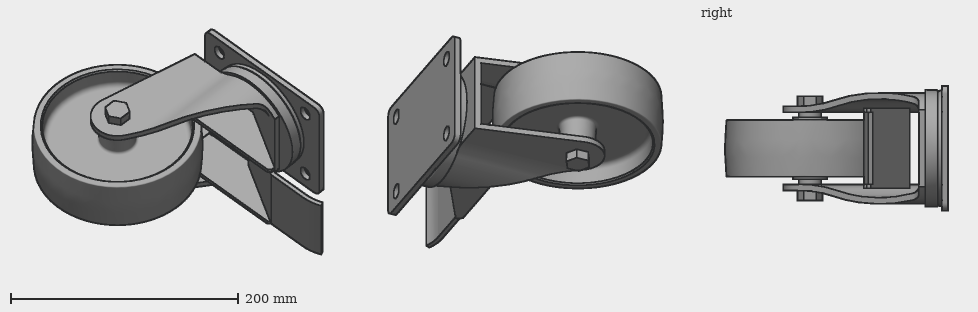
import cadquery as cq
import math


overall_length = 275.0
overall_height = 196.7

wheel_radius = 75.0
wheel_half_width = 25.0
tread_edge_radius = 73.7
tread_round = 1.0
rim_bore_radius = 66.3
rim_chamfer = 1.5
web_half_thickness = 7.0
web_fillet = 5.2
wheel_draft_angle = 4.0
hub_radius = 15.0
hub_half_length = 27.2
hub_fillet = 2.8

spacer_diameter = 20.0
bolt_across_flats = 19.3
bolt_head_height = 8.8

swivel_x = 65.0
plate_top_y = overall_height - wheel_radius
plate_length = 140.3
plate_width = 110.0
plate_thickness = 5.5
plate_corner_radius = 7.0
slot_spacing_x = 105.0
slot_spacing_z = 77.5
slot_width = 11.0
slot_length = 13.5

cup_diameter = 103.2
lower_cup_height = 11.3
lower_cup_round = 1.7
groove_radius = 49.8
upper_cup_radius = 51.2
upper_cup_bulge_radius = 51.0

sheet = 5.5
fork_half_width = 37.1
fork_top_y = 101.2
fork_top_left_x = -3.3
fork_top_right_x = 100.1
leg_end_radius = 23.7
leg_slope_angle = 58.6
crown_fillet = 12.0
bulge_radius = 49.0
bulge_start_x = 21.7

lever_sheet = 4.5
lever_side_thickness = 3.5
lever_bottom_y = 47.3
lever_slope_angle = 30.0
lever_bend_x = 143.5
lever_top_y = 87.8
lever_side_left_x = 27.5
lever_side_right_x = 140.9
lever_side_chamfer = 2.8
handle_curve_start_x = 181.3
handle_curve_radius = 45.0

plate_bottom_y = plate_top_y - plate_thickness
fork_inner_half_width = fork_half_width - sheet
crown_bottom_y = fork_top_y - sheet


def polar(radius, degrees):
    """Point at a radius and angle about the origin."""
    angle = math.radians(degrees)
    return (radius * math.cos(angle), radius * math.sin(angle))


def shifted(point, offset):
    return (point[0] + offset[0], point[1] + offset[1])


def cylinder_along_z(radius, half_length):
    return cq.Workplane("XY").circle(radius).extrude(half_length, both=True)


def make_wheel():
    blank = (
        cq.Workplane("XZ")
        .moveTo(0, -wheel_half_width)
        .lineTo(tread_edge_radius, -wheel_half_width)
        .threePointArc((wheel_radius, 0), (tread_edge_radius, wheel_half_width))
        .lineTo(0, wheel_half_width)
        .close()
        .revolve(360, (0, 0, 0), (0, 1, 0))
        .faces(">Z or <Z").edges().fillet(tread_round)
    )
    draft = math.tan(math.radians(wheel_draft_angle))
    recess_depth = wheel_half_width - web_half_thickness
    recess = (
        cq.Workplane("XY", origin=(0, 0, web_half_thickness))
        .circle(rim_bore_radius - recess_depth * draft)
        .extrude(recess_depth, taper=-wheel_draft_angle)
        .faces("<Z").edges().fillet(web_fillet)
    )
    mouth = (
        cq.Workplane("XY", origin=(0, 0, wheel_half_width - rim_chamfer))
        .circle(rim_bore_radius)
        .extrude(rim_chamfer, taper=-45)
    )
    recess = recess.union(mouth)
    hub_height = hub_half_length - web_half_thickness
    hub_foot_radius = hub_radius + hub_height * draft
    hub = (
        cq.Workplane("XY", origin=(0, 0, web_half_thickness))
        .circle(hub_foot_radius)
        .extrude(hub_height, taper=wheel_draft_angle)
    )
    wheel = blank.cut(recess).cut(recess.mirror("XY")).union(hub).union(hub.mirror("XY"))
    foot_reach = hub_foot_radius + hub_fillet
    foot_level = web_half_thickness + hub_fillet
    feet = cq.selectors.BoxSelector(
        (-foot_reach, -foot_reach, -foot_level),
        (foot_reach, foot_reach, foot_level),
        boundingbox=True,
    )
    return wheel.edges("%CIRCLE").edges(feet).fillet(hub_fillet)


def make_axle():
    spacer = cylinder_along_z(spacer_diameter / 2, fork_half_width)
    corner_diameter = bolt_across_flats / math.cos(math.pi / 6)
    heads = (
        cq.Workplane("XY")
        .transformed(rotate=(0, 0, 90))
        .polygon(6, corner_diameter)
        .extrude(fork_half_width + bolt_head_height, both=True)
    )
    gap = cylinder_along_z(corner_diameter, fork_half_width)
    return spacer.union(heads.cut(gap))


def make_plate():
    slots_x = slot_spacing_x / 2
    slots_z = slot_spacing_z / 2
    slot_centres = [(x, z) for x in (-slots_x, slots_x) for z in (-slots_z, slots_z)]
    return (
        cq.Workplane("XZ", origin=(swivel_x, plate_top_y, 0))
        .rect(plate_length, plate_width)
        .extrude(plate_thickness)
        .edges("|Y").fillet(plate_corner_radius)
        .faces(">Y").workplane(origin=(swivel_x, plate_top_y, 0))
        .pushPoints(slot_centres)
        .slot2D(slot_length, slot_width, 90)
        .cutThruAll()
    )


def make_bearing():
    cup_radius = cup_diameter / 2
    cup_top_y = fork_top_y + lower_cup_height
    bulge_y = (cup_top_y + plate_bottom_y) / 2
    lower_cup = (
        cq.Workplane("XZ", origin=(swivel_x, cup_top_y, 0))
        .circle(cup_radius)
        .extrude(lower_cup_height)
        .faces(">Y").edges().fillet(lower_cup_round)
    )
    upper_cup = (
        cq.Workplane("XY", origin=(swivel_x, 0, 0))
        .moveTo(0, cup_top_y)
        .lineTo(groove_radius, cup_top_y)
        .threePointArc((upper_cup_bulge_radius, bulge_y), (upper_cup_radius, plate_bottom_y))
        .lineTo(0, plate_bottom_y)
        .close()
        .revolve(360, (0, 0, 0), (0, 1, 0))
    )
    return lower_cup.union(upper_cup)


def fork_plan(inset, left_x, top_y):
    """Solid with straight sides blending into a round bulge, from top_y down past the leg ends."""
    cheek_z = fork_half_width - inset
    outer = bulge_radius - inset
    run = swivel_x - bulge_start_x
    blend = (run**2 + fork_half_width**2 - bulge_radius**2) / (2 * (bulge_radius - fork_half_width))
    blend_centre_z = fork_half_width + blend
    blend_radius = blend + inset
    aim = math.degrees(math.atan2(blend_centre_z, -run))
    join = shifted(polar(outer, aim), (swivel_x, 0))
    blend_middle_angle = (-90 + aim - 180) / 2
    blend_middle = shifted(polar(blend_radius, blend_middle_angle), (bulge_start_x, blend_centre_z))
    return (
        cq.Workplane("XZ", origin=(0, top_y, 0))
        .moveTo(left_x, -cheek_z)
        .lineTo(bulge_start_x, -cheek_z)
        .threePointArc((blend_middle[0], -blend_middle[1]), (join[0], -join[1]))
        .threePointArc((swivel_x + outer, 0), join)
        .threePointArc(blend_middle, (bulge_start_x, cheek_z))
        .lineTo(left_x, cheek_z)
        .close()
        .extrude(top_y + 2 * leg_end_radius)
    )


def make_fork():
    corner_distance = math.hypot(fork_top_left_x, fork_top_y)
    corner_angle = math.degrees(math.atan2(fork_top_y, fork_top_left_x))
    left_angle = corner_angle + math.degrees(math.acos(leg_end_radius / corner_distance))
    right_angle = leg_slope_angle - 90
    slope = math.radians(leg_slope_angle)
    right_tangent = polar(leg_end_radius, right_angle)
    right_corner_x = right_tangent[0] + (crown_bottom_y - right_tangent[1]) / math.tan(slope)
    side = (
        cq.Workplane("XY")
        .moveTo(fork_top_left_x, fork_top_y)
        .lineTo(*polar(leg_end_radius, left_angle))
        .threePointArc((0, -leg_end_radius), right_tangent)
        .lineTo(right_corner_x, crown_bottom_y)
        .lineTo(fork_top_right_x, crown_bottom_y)
        .lineTo(fork_top_right_x, fork_top_y)
        .close()
        .extrude(bulge_radius + sheet, both=True)
    )
    crown_corner = cq.selectors.NearestToPointSelector((right_corner_x, crown_bottom_y, 0))
    side = side.edges("|Z").edges(crown_corner).fillet(crown_fillet)
    left_x = -2 * leg_end_radius
    shell = fork_plan(0, left_x, fork_top_y).cut(fork_plan(sheet, left_x - sheet, crown_bottom_y))
    return shell.intersect(side)


def make_lever():
    inner = fork_inner_half_width
    slope = math.radians(lever_slope_angle)
    handle_top_y = lever_bottom_y + lever_sheet
    strip_top_x = lever_bend_x - (lever_top_y - handle_top_y) / math.tan(slope)
    strip_top = (strip_top_x, lever_top_y)
    strip_under = shifted(strip_top, polar(lever_sheet, -90 - lever_slope_angle))
    strip_end = (strip_under[0], lever_top_y)
    bend_under_x = lever_bend_x - lever_sheet * math.tan(slope / 2)

    tip_x = overall_length - wheel_radius
    curl = math.degrees(math.asin((tip_x - handle_curve_start_x) / handle_curve_radius))
    curl_centre = (handle_curve_start_x, lever_bottom_y + handle_curve_radius)

    def on_curl(radius, fraction):
        return shifted(polar(radius, -90 + fraction * curl), curl_centre)

    top_radius = handle_curve_radius - lever_sheet
    strip = (
        cq.Workplane("XY")
        .moveTo(*strip_top)
        .lineTo(lever_bend_x, handle_top_y)
        .lineTo(handle_curve_start_x, handle_top_y)
        .threePointArc(on_curl(top_radius, 0.5), on_curl(top_radius, 1))
        .lineTo(*on_curl(handle_curve_radius, 1))
        .threePointArc(on_curl(handle_curve_radius, 0.5), (handle_curve_start_x, lever_bottom_y))
        .lineTo(bend_under_x, lever_bottom_y)
        .lineTo(*strip_under)
        .lineTo(*strip_end)
        .close()
        .extrude(inner, both=True)
    )
    nose_y = handle_top_y + (lever_bend_x - lever_side_right_x) * math.tan(slope)
    cheek = (
        cq.Workplane("XY", origin=(0, 0, inner))
        .moveTo(lever_side_left_x, lever_bottom_y)
        .lineTo(lever_side_right_x - lever_side_chamfer, lever_bottom_y)
        .lineTo(lever_side_right_x, lever_bottom_y + lever_side_chamfer)
        .lineTo(lever_side_right_x, nose_y)
        .lineTo(*strip_top)
        .lineTo(lever_side_left_x, lever_top_y)
        .close()
        .extrude(lever_side_thickness)
    )
    return strip.union(cheek).union(cheek.mirror("XY"))


result = (
    make_plate()
    .union(make_bearing())
    .union(make_fork())
    .union(make_lever())
    .union(make_axle())
    .union(make_wheel())
)